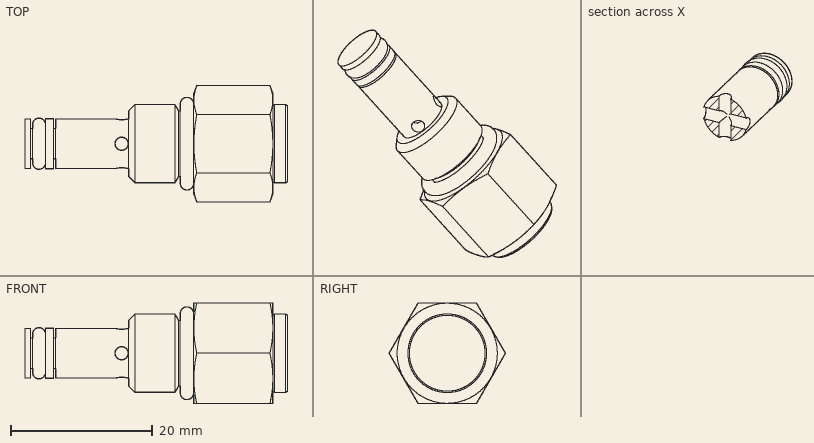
import cadquery as cq
import math


total_length = 37.16
hex_start = 23.88
hex_length = 11.2
hex_end = hex_start + hex_length

nose_diameter = 7.06
nose_groove_diameter = 4.32
nose_groove_start = 0.83
nose_groove_end = 4.37

shoulder_diameter = 11.1
shoulder_start = 14.67
shoulder_end = 21.75
neck_diameter = 9.3
shoulder_step = (shoulder_diameter - neck_diameter) / 2
rear_chamfer_angle = math.radians(60)
rear_chamfer_length = shoulder_step / math.tan(rear_chamfer_angle)

hex_across_flats = 14.27
hex_across_corners = hex_across_flats / math.cos(math.pi / 6)
hex_face_diameter = 14.17
hex_chamfer_angle = math.radians(20)

cross_hole_diameter = 1.83
cross_hole_x = 13.69

nose_ring_section = 1.83
nose_ring_outer_diameter = 7.27
backup_ring_diameter = 7.11
backup_ring_start = 2.92
backup_ring_width = 1.14
nose_ring_x = backup_ring_start - nose_ring_section / 2
neck_ring_section = 1.92
neck_ring_x = hex_start - neck_ring_section / 2

cap_diameter = 11.12
cap_inner_chamfer = 0.2
cap_outer_chamfer_length = 0.3
cap_outer_chamfer_depth = 0.2


def cylinder(start, end, diameter):
    """Cylinder along X between two stations."""
    return cq.Workplane("YZ", origin=(start, 0, 0)).circle(diameter / 2).extrude(end - start)


def revolve_about_x(points):
    """Turn a closed (x, radius) outline about the X axis."""
    return cq.Workplane("XY").polyline(points).close().revolve(360, (0, 0), (1, 0))


def torus_about_x(x, ring_radius, section):
    """Round-section ring centred on the X axis."""
    profile = cq.Workplane("XY").center(x, ring_radius).circle(section / 2)
    return profile.revolve(360, (0, -ring_radius), (1, -ring_radius))


def make_turned_body():
    """Nose with its groove, chamfered shoulder and neck, up to the hexagon."""
    nose = nose_diameter / 2
    groove = nose_groove_diameter / 2
    shoulder = shoulder_diameter / 2
    neck = neck_diameter / 2
    return revolve_about_x([
        (0, 0),
        (0, nose),
        (nose_groove_start, nose),
        (nose_groove_start, groove),
        (nose_groove_end, groove),
        (nose_groove_end, nose),
        (shoulder_start, nose),
        (shoulder_start, neck),
        (shoulder_start + shoulder_step, shoulder),
        (shoulder_end - rear_chamfer_length, shoulder),
        (shoulder_end, neck),
        (hex_start, neck),
        (hex_start, 0),
    ])


def make_hexagon():
    """Hexagon with corners on +/-Y and conical chamfers on both faces."""
    prism = (
        cq.Workplane("YZ", origin=(hex_start, 0, 0))
        .polygon(6, hex_across_corners)
        .extrude(hex_length)
    )
    face_radius = hex_face_diameter / 2
    corner_radius = hex_across_corners / 2
    chamfer_length = (corner_radius - face_radius) * math.tan(hex_chamfer_angle)
    envelope = revolve_about_x([
        (hex_start, 0),
        (hex_start, face_radius),
        (hex_start + chamfer_length, corner_radius),
        (hex_end - chamfer_length, corner_radius),
        (hex_end, face_radius),
        (hex_end, 0),
    ])
    return prism.intersect(envelope)


def make_cartridge():
    """Turned body and hexagon in one piece, with cross holes along Y and Z."""
    cartridge = make_turned_body().union(make_hexagon())
    for plane in ("XY", "XZ"):
        hole = (
            cq.Workplane(plane)
            .center(cross_hole_x, 0)
            .circle(cross_hole_diameter / 2)
            .extrude(nose_diameter, both=True)
        )
        cartridge = cartridge.cut(hole)
    return cartridge


def make_nose_ring():
    """O-ring in the nose groove, flattened where it sits on the groove floor."""
    ring_radius = (nose_ring_outer_diameter - nose_ring_section) / 2
    floor = cylinder(nose_groove_start, nose_groove_end, nose_groove_diameter)
    return torus_about_x(nose_ring_x, ring_radius, nose_ring_section).cut(floor)


def make_backup_ring():
    """Flat ring behind the nose O-ring."""
    backup_ring_end = backup_ring_start + backup_ring_width
    outside = cylinder(backup_ring_start, backup_ring_end, backup_ring_diameter)
    return outside.cut(cylinder(backup_ring_start, backup_ring_end, nose_groove_diameter))


def make_neck_ring():
    """O-ring on the neck, resting against the hexagon."""
    ring_radius = (neck_diameter + neck_ring_section) / 2
    return torus_about_x(neck_ring_x, ring_radius, neck_ring_section)


def make_cap():
    """Plain disc on the far face of the hexagon, chamfered at both ends."""
    radius = cap_diameter / 2
    return revolve_about_x([
        (hex_end, 0),
        (hex_end, radius - cap_inner_chamfer),
        (hex_end + cap_inner_chamfer, radius),
        (total_length - cap_outer_chamfer_length, radius),
        (total_length, radius - cap_outer_chamfer_depth),
        (total_length, 0),
    ])


cartridge = make_cartridge()
nose_ring = make_nose_ring()
backup_ring = make_backup_ring()
neck_ring = make_neck_ring()
cap = make_cap()

result = cq.Compound.makeCompound([
    cartridge.solids().val(),
    nose_ring.solids().val(),
    backup_ring.solids().val(),
    neck_ring.solids().val(),
    cap.solids().val(),
])